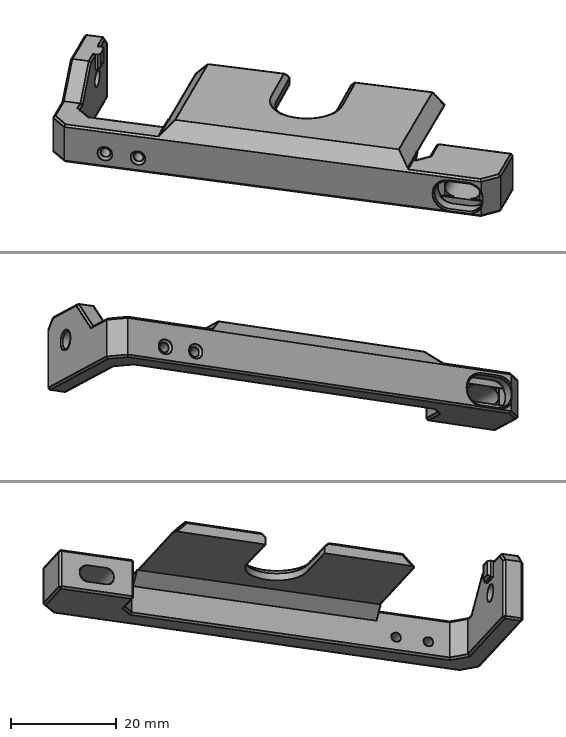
import cadquery as cq
import math

length = 88.0
depth = 27.2
bar_height = 8.0
bar_thickness = 4.7
arm_height = 14.0
arm_thickness = 4.0
arm_slope_foot_y = 9.2
arm_back_bevel = 2.0
block_width = 15.0
block_depth = 12.1
outer_corner = 3.0
arm_inner_corner = 2.7
block_inner_corner = 2.2
edge_chamfer = 0.4

plate_center_x = 46.0
plate_width = 48.8
plate_bottom = 8.2
plate_top = 10.6
plate_thickness = plate_top - plate_bottom
plate_back_y = 26.9
plate_back_chamfer = 0.4
plate_turn = 0.7
pad_width = 49.1
pad_back_y = 7.1
front_slope_foot = bar_height - edge_chamfer

notch_center_y = 17.0
notch_radius = 6.0
notch_chamfer = 1.0

pivot_diameter = 3.4
pivot_chamfer = 0.3
pivot_y = 19.8
pivot_z = 8.0
pilot_diameter = 1.9
pilot_chamfer = 0.5
pilot_z = 3.0
pilot_xs = (11.0, 17.5)

slot_center_x = 80.5
slot_z = 3.75
slot_travel = 3.5
screw_diameter = 3.4
head_diameter = 6.0
head_depth = 2.5
head_chamfer = 0.3
slot_step = 0.3

bump_width = 3.2
bump_reach = 1.0
bump_bottom = 10.7
bump_chamfer = 0.5

chamfer_taper = 45.0
cut_margin = 2.0
tolerance = 1e-6


def box(x0, x1, y0, y1, z0, z1):
    """Box given by its limits along each axis."""
    return cq.Workplane("XY", origin=(x0, y0, z0)).box(x1 - x0, y1 - y0, z1 - z0, centered=False)


def along_x(outline, x0, x1):
    """Prism of a (y, z) outline between two X positions."""
    return cq.Workplane("YZ", origin=(x0, 0, 0)).polyline(outline).close().extrude(x1 - x0)


def turned(shape, y):
    """Shape turned by the plate's angle about a vertical axis on the plate's center line."""
    return shape.rotate((plate_center_x, y, 0), (plate_center_x, y, 1), plate_turn)


def is_frame_edge_chamfered(edge):
    """All frame edges but the front and inner vertical corners and the creases across the arm's top."""
    start = edge.startPoint()
    end = edge.endPoint()
    same_y = abs(start.y - end.y) < tolerance
    same_z = abs(start.z - end.z) < tolerance
    middle = edge.Center()
    if same_y and not same_z:
        return middle.y > block_depth - tolerance
    crosses_arm = same_y and same_z and middle.x < arm_thickness
    return not crosses_arm or middle.z < tolerance


def make_frame():
    """Bar with the raised arm at the left and the block at the right, edges chamfered."""
    block_x = length - block_width
    plan = [
        (outer_corner, 0),
        (length - outer_corner, 0),
        (length, outer_corner),
        (length, block_depth),
        (block_x, block_depth),
        (block_x, bar_thickness + block_inner_corner),
        (block_x - block_inner_corner, bar_thickness),
        (arm_thickness + arm_inner_corner, bar_thickness),
        (arm_thickness, bar_thickness + arm_inner_corner),
        (arm_thickness, depth),
        (0, depth),
        (0, outer_corner),
    ]
    raised_arm = [
        (arm_slope_foot_y, bar_height),
        (arm_slope_foot_y + arm_height - bar_height, arm_height),
        (depth - arm_back_bevel, arm_height),
        (depth, arm_height - arm_back_bevel),
        (depth, bar_height),
    ]
    frame = cq.Workplane("XY").polyline(plan).close().extrude(bar_height)
    frame = frame.union(along_x(raised_arm, 0, arm_thickness)).clean()
    edges = [edge for edge in frame.edges().vals() if is_frame_edge_chamfered(edge)]
    return frame.newObject(edges).chamfer(edge_chamfer)


def make_notch():
    """Cutter for the U notch, open to the back, with its chamfered rim."""
    def u_shape(radius, z):
        return (
            cq.Workplane("XY", origin=(plate_center_x, notch_center_y, z))
            .moveTo(-radius, depth)
            .lineTo(-radius, 0)
            .threePointArc((0, -radius), (radius, 0))
            .lineTo(radius, depth)
            .close()
        )

    notch = u_shape(notch_radius, plate_bottom).extrude(plate_thickness)
    rim = u_shape(notch_radius + notch_chamfer, plate_top).extrude(-notch_chamfer, taper=chamfer_taper)
    return turned(notch.union(rim), notch_center_y)


def make_plate():
    """Plate with 45 degree front and sides, a slightly turned back edge and the notch."""
    reach = depth + cut_margin
    side_outline = [
        (-plate_width / 2, plate_bottom),
        (plate_width / 2, plate_bottom),
        (plate_width / 2 - plate_thickness, plate_top),
        (plate_thickness - plate_width / 2, plate_top),
    ]
    front_outline = [
        (plate_bottom - front_slope_foot, plate_bottom),
        (plate_top - front_slope_foot, plate_top),
        (reach, plate_top),
        (reach, plate_bottom),
    ]
    plate = cq.Workplane("XZ", origin=(plate_center_x, 0, 0)).polyline(side_outline).close().extrude(-reach)
    plate = plate.intersect(along_x(front_outline, 0, length))
    behind = box(0, length, plate_back_y, reach + cut_margin, 0, arm_height)
    plate = plate.cut(turned(behind, plate_back_y))
    back_edges = plate.faces(">Y").edges().vals()
    upper_edges = [edge for edge in back_edges if edge.Center().z > plate_bottom + tolerance]
    return plate.newObject(upper_edges).chamfer(plate_back_chamfer).cut(make_notch())


def make_pad():
    """Layer joining the bar to the plate, with a 45 degree support under the plate's overhang."""
    support_foot = plate_bottom - (pad_back_y - bar_thickness)
    outline = [
        (0, front_slope_foot),
        (plate_bottom - front_slope_foot, plate_bottom),
        (pad_back_y, plate_bottom),
        (bar_thickness, support_foot),
        (edge_chamfer, support_foot),
        (edge_chamfer, front_slope_foot),
    ]
    return along_x(outline, plate_center_x - pad_width / 2, plate_center_x + pad_width / 2)


def make_bump():
    """Detent bump, chamfered at its sides and bottom and flush with the top of the arm."""
    y0 = pivot_y - bump_width / 2
    root = arm_thickness - edge_chamfer
    tip = arm_thickness + bump_reach
    bump = box(root, tip, y0, y0 + bump_width, bump_bottom, arm_height)
    return bump.faces(">X").edges("not >Z").chamfer(bump_chamfer)


def make_hole(plane, center, diameter, chamfer, reach):
    """Cutter for a round hole with a 45 degree chamfer at its mouth."""
    mouth = cq.Workplane(plane, origin=center)
    hole = mouth.circle(diameter / 2).extrude(reach)
    rim = mouth.circle(diameter / 2 + chamfer).extrude(math.copysign(chamfer, reach), taper=chamfer_taper)
    return hole.union(rim)


def make_screw_slot():
    """Cutter for the slot: head recess, two thin narrowing steps, then the screw's own slot."""
    def stadium(diameter, y):
        sketch_plane = cq.Workplane("XZ", origin=(slot_center_x, y, slot_z))
        return sketch_plane.slot2D(slot_travel + diameter, diameter)

    head = stadium(head_diameter, 0).extrude(-head_depth)
    rim = stadium(head_diameter + 2 * head_chamfer, 0).extrude(-head_chamfer, taper=chamfer_taper)
    through = stadium(screw_diameter, 0).extrude(-block_depth)

    low = slot_z - screw_diameter / 2
    high = slot_z + screw_diameter / 2
    band = stadium(head_diameter, head_depth).extrude(-slot_step)
    band = band.intersect(box(0, length, 0, depth, low, high))
    half_length = (slot_travel + screw_diameter) / 2
    window_y = head_depth + slot_step
    window = box(
        slot_center_x - half_length, slot_center_x + half_length, window_y, window_y + slot_step, low, high
    )
    return head.union(rim).union(through).union(band).union(window)


result = make_frame().union(make_pad()).union(make_plate()).union(make_bump())
result = result.cut(make_hole("YZ", (0, pivot_y, pivot_z), pivot_diameter, pivot_chamfer, arm_thickness))
for pilot_x in pilot_xs:
    result = result.cut(make_hole("XZ", (pilot_x, 0, pilot_z), pilot_diameter, pilot_chamfer, -bar_thickness))
result = result.cut(make_screw_slot())